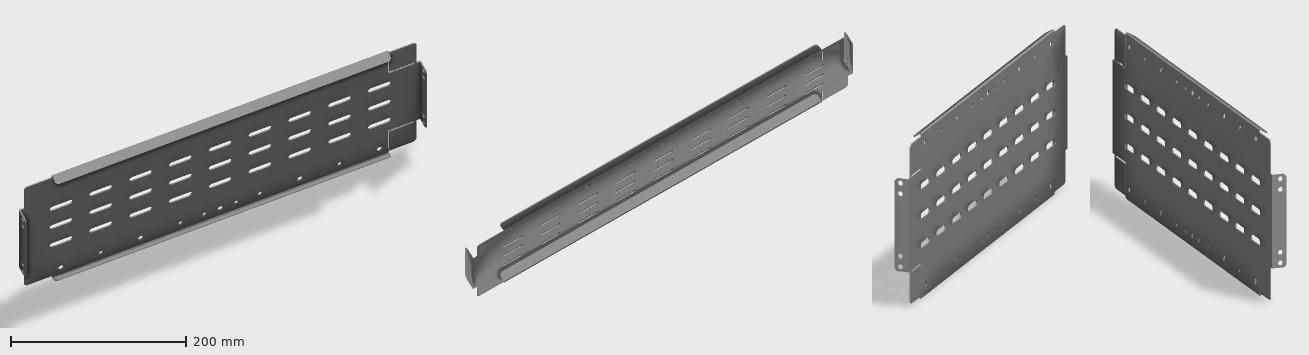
import cadquery as cq
import math

length = 505.5
height = 199.0
depth = 17.5

thickness = 1.5
corner_chamfer = 3.0

panel_length = 493.0
panel_height = 190.5

flange_length = 422.5
flange_reach = 11.5
flange_slope = 30.0

tab_height = 111.0
tab_hole_diameter = 6.0
tab_hole_x = 10.5
tab_hole_heights = (37.5, 50.0)

slot_columns = 9
slot_rows = 3
slot_pitch_y = 50.0
slot_pitch_z = 35.5
slot_length = 29.0
slot_width = 7.5

edge_hole_z = 85.0
edge_holes = (
    (0.0, 6.5),
    (20.0, 5.0),
    (slot_pitch_y, 5.0),
    (2 * slot_pitch_y, 6.5),
    (3 * slot_pitch_y, 5.0),
    (4 * slot_pitch_y, 6.5),
)

long_slit_width = 2.5
short_slit_width = 1.5
slit_bridge = 2.3


def on_both_sides(body, plane):
    """Return the body joined with its mirror image."""
    return body.union(body.mirror(plane))


def flat_panel():
    panel = (
        cq.Workplane("YZ")
        .rect(panel_length, panel_height)
        .extrude(thickness)
        .edges("|X")
        .chamfer(corner_chamfer)
    )
    tab_roots = cq.Workplane("YZ").rect(length, tab_height).extrude(thickness)
    flange_roots = cq.Workplane("YZ").rect(flange_length, height - 2 * thickness).extrude(thickness)
    return panel.union(tab_roots).union(flange_roots)


def long_flanges():
    slope = math.radians(flange_slope)
    leg_rise = thickness / math.cos(slope)
    tip_setback = thickness * math.sin(slope)
    crest_z = height / 2
    outer_tip_z = crest_z - (flange_reach - thickness) * math.tan(slope)
    flange = (
        cq.Workplane("XZ")
        .moveTo(0, crest_z - thickness)
        .lineTo(thickness, crest_z)
        .lineTo(flange_reach, outer_tip_z)
        .line(-tip_setback, -thickness * math.cos(slope))
        .lineTo(thickness, crest_z - leg_rise)
        .lineTo(thickness, crest_z - 2 * thickness)
        .lineTo(0, crest_z - 2 * thickness)
        .close()
        .extrude(flange_length / 2, both=True)
    )
    sheet_normal = cq.Vector(math.sin(slope), 0, math.cos(slope))
    tip_corners = cq.selectors.ParallelDirSelector(sheet_normal)
    return on_both_sides(flange.edges(tip_corners).chamfer(corner_chamfer), "XY")


def end_tabs():
    tab = (
        cq.Workplane("XZ", origin=(0, length / 2, 0))
        .center(depth / 2, 0)
        .rect(depth, tab_height)
        .extrude(thickness)
        .edges(">X and |Y")
        .chamfer(corner_chamfer)
    )
    holes = (
        cq.Workplane("XZ")
        .pushPoints([(tab_hole_x, side * z) for z in tab_hole_heights for side in (-1, 1)])
        .circle(tab_hole_diameter / 2)
        .extrude(-length)
    )
    return on_both_sides(tab.cut(holes), "XZ")


def slot_cutters():
    return (
        cq.Workplane("YZ")
        .rarray(slot_pitch_y, slot_pitch_z, slot_columns, slot_rows)
        .slot2D(slot_length, slot_width)
        .extrude(thickness)
    )


def edge_hole_cutters():
    cutters = cq.Workplane("YZ")
    for distance, diameter in edge_holes:
        offsets = {distance, -distance}
        points = [(y, side * edge_hole_z) for y in offsets for side in (-1, 1)]
        cutters = cutters.pushPoints(points).circle(diameter / 2)
    return cutters.extrude(thickness)


def breakout_slits():
    inner_y = flange_length / 2
    outer_y = panel_length / 2 - slit_bridge
    low_z = tab_height / 2
    high_z = panel_height / 2 - slit_bridge
    slit = (
        cq.Workplane("YZ")
        .moveTo(inner_y, low_z)
        .lineTo(outer_y, low_z)
        .lineTo(outer_y, low_z + long_slit_width)
        .lineTo(inner_y + short_slit_width, low_z + long_slit_width)
        .lineTo(inner_y + short_slit_width, high_z)
        .lineTo(inner_y, high_z)
        .close()
        .extrude(thickness)
    )
    return on_both_sides(slit, "XY")


result = (
    flat_panel()
    .union(long_flanges())
    .union(end_tabs())
    .cut(slot_cutters())
    .cut(edge_hole_cutters())
    .cut(breakout_slits())
)